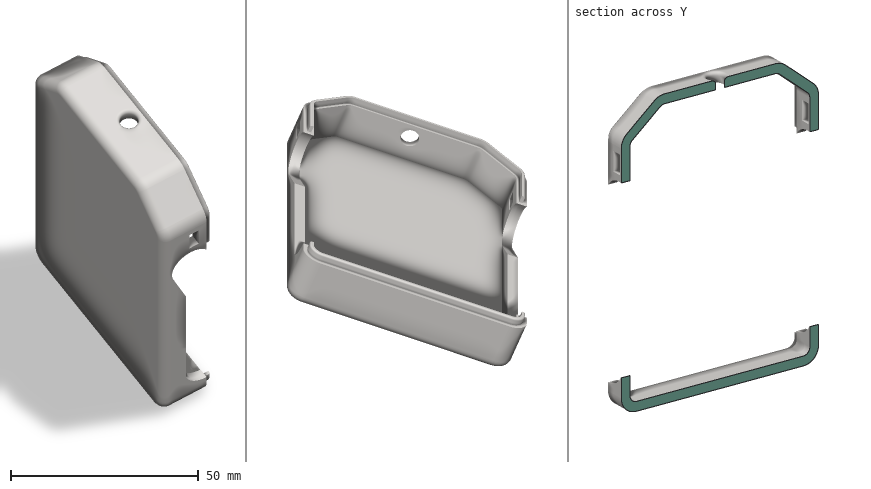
import cadquery as cq
import math

width = 64.0
height = 90.0
body_depth = 14.0
lip_height = 2.0
total_depth = body_depth + lip_height

chamfer_x = 12.2
chamfer_z = 10.2
corner_radius = 5.0
face_edge_radius = 2.5

wall = 3.0
floor_thickness = 3.5
lip_inset = 1.25
lip_thickness = 1.0
lip_edge_radius = 0.5
lip_gap_bottom = 6.3
lip_gap_top = 66.0

ledge_y = 7.5
ledge_top_z = 48.5
upper_arc_radius = 6.0
upper_arc_y = 9.0
upper_arc_z = 61.5
lower_arc_radius = 6.9
lower_arc_bottom_z = 7.5

window_depth = 3.0
window_height = 6.0
window_y = 10.0
window_z = 72.5

hole_diameter = 5.0
hole_mouth_radius = 1.0
hole_y = 10.1


def outline_prism(inset, y_start, y_end):
    """Rounded shell outline, shrunk by inset and filled from y_start to y_end."""
    half = width / 2
    points = [
        (-half, 0),
        (half, 0),
        (half, height - chamfer_z),
        (half - chamfer_x, height),
        (-half + chamfer_x, height),
        (-half, height - chamfer_z),
    ]
    sketch = cq.Workplane("XZ", origin=(0, y_start, 0)).polyline(points).close()
    if inset > 0:
        sketch = sketch.offset2D(-inset, "intersection")
    prism = sketch.extrude(y_start - y_end)
    return prism.edges("|Y").fillet(corner_radius - inset)


def side_wall_box(y_start, y_end, z_start, z_end):
    """Block spanning the full width, used to cut both side walls."""
    origin = (0, y_start, z_start)
    size = (width, y_end - y_start, z_end - z_start)
    return cq.Workplane("XY", origin=origin).box(*size, centered=(True, False, False))


def make_body():
    body = outline_prism(0, 0, body_depth)
    return body.faces("<Y").edges().fillet(face_edge_radius)


def make_lip():
    """Stepped-in lip on the rim, left out along the middle of both sides."""
    lip = outline_prism(lip_inset, body_depth, total_depth)
    lip = lip.faces(">Y").edges().fillet(lip_edge_radius)
    inside = outline_prism(lip_inset + lip_thickness, body_depth, total_depth)
    side_gaps = side_wall_box(body_depth, total_depth, lip_gap_bottom, lip_gap_top)
    return lip.cut(inside).cut(side_gaps)


def make_grip_cutter():
    """Side profile of the grip opening: round top, sloped run, straight ledge, round foot."""
    dy = ledge_y - upper_arc_y
    dz = ledge_top_z - upper_arc_z
    tangent_angle = math.atan2(dz, dy) - math.acos(upper_arc_radius / math.hypot(dy, dz))
    tangent_angle %= 2 * math.pi
    rim_angle = math.acos((body_depth - upper_arc_y) / upper_arc_radius)
    middle_angle = (rim_angle + tangent_angle) / 2

    def on_upper_arc(angle):
        return (
            upper_arc_y + upper_arc_radius * math.cos(angle),
            upper_arc_z + upper_arc_radius * math.sin(angle),
        )

    lower_arc_z = lower_arc_bottom_z + lower_arc_radius
    foot_angle = math.acos((body_depth - ledge_y) / lower_arc_radius)

    def on_lower_arc(angle):
        return (
            body_depth - lower_arc_radius * math.cos(angle),
            lower_arc_z - lower_arc_radius * math.sin(angle),
        )

    profile = (
        cq.Workplane("YZ", origin=(-width / 2, 0, 0))
        .moveTo(*on_upper_arc(rim_angle))
        .threePointArc(on_upper_arc(middle_angle), on_upper_arc(tangent_angle))
        .lineTo(ledge_y, ledge_top_z)
        .lineTo(*on_lower_arc(foot_angle))
        .threePointArc(
            on_lower_arc((foot_angle + math.pi / 2) / 2),
            (body_depth, lower_arc_bottom_z),
        )
        .close()
    )
    cutter = profile.extrude(width)
    floor = outline_prism(wall, 0, floor_thickness)
    return cutter.cut(floor)


def make_window_cutter():
    y_start = window_y - window_depth / 2
    z_start = window_z - window_height / 2
    return side_wall_box(y_start, y_start + window_depth, z_start, z_start + window_height)


def make_hole_cutter():
    """Revolved hole through the top wall whose mouth flares out in a quarter round."""
    radius = hole_diameter / 2
    hole_bottom = height - 2 * wall
    mouth_bottom = height - hole_mouth_radius
    arc_offset = hole_mouth_radius * (1 - math.sqrt(0.5))
    return (
        cq.Workplane("XZ", origin=(0, hole_y, 0))
        .moveTo(0, hole_bottom)
        .lineTo(radius, hole_bottom)
        .lineTo(radius, mouth_bottom)
        .threePointArc(
            (radius + arc_offset, height - arc_offset),
            (radius + hole_mouth_radius, height),
        )
        .lineTo(0, height)
        .close()
        .revolve(360, (0, 0, 0), (0, 1, 0))
    )


cavity = outline_prism(wall, floor_thickness, body_depth)

result = (
    make_body()
    .cut(cavity)
    .union(make_lip())
    .cut(make_grip_cutter())
    .cut(make_window_cutter())
    .cut(make_hole_cutter())
)